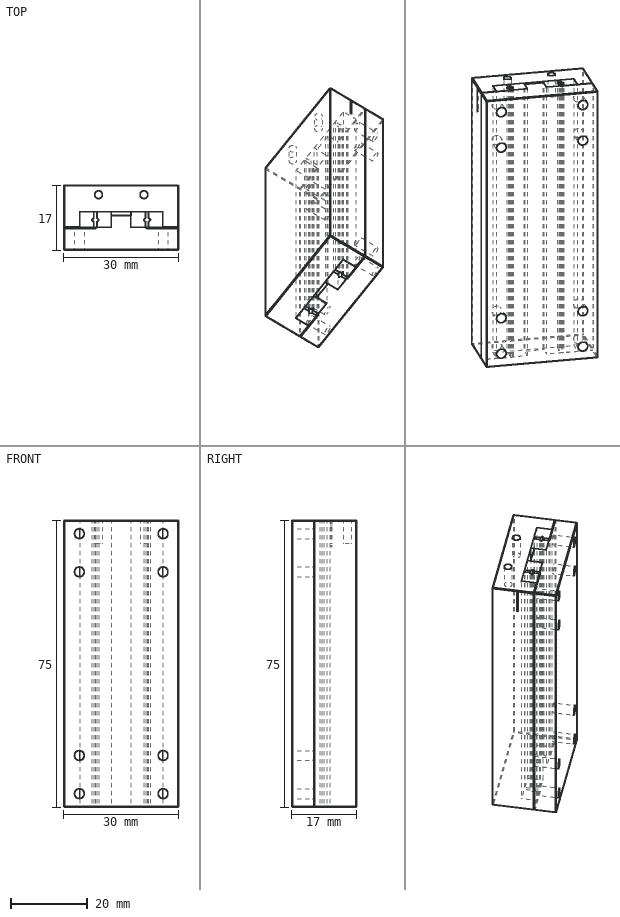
import cadquery as cq

WIDTH = 30.0
DEPTH = 17.0
LENGTH = 75.0
EDGE_CHAMFER = 0.2
FRONT_Y = -DEPTH / 2
BACK_Y = DEPTH / 2

SEAT_Y = -2.55
SHOULDER_Y = -2.8
COVER_BOTTOM_Y = -2.5
CEILING_Y = 1.5

CHANNEL_HALF_WIDTH = 10.9
SLOT_CENTRE_X = 6.75
SLOT_WIDTH = 0.75
JAW_INNER_X = SLOT_CENTRE_X - SLOT_WIDTH / 2
JAW_OUTER_X = SLOT_CENTRE_X + SLOT_WIDTH / 2
GROOVE_DEPTH = 0.5
GROOVE_Y = -0.6

RIB_HALF_WIDTH = 2.55
RIB_TOP_Y = 0.6

CLAMP_HOLE_DIAMETER = 2.55
CLAMP_HOLE_X = 10.95
CLAMP_HOLE_Z = (24.0, 34.0)

END_HOLE_DIAMETER = 2.0
END_HOLE_X = 5.9
END_HOLE_Y = 6.0
END_HOLE_DEPTH = 6.0

MARK_Y = 1.8
MARK_Z = 33.75
MARK_LINE_LENGTH = 4.65
MARK_DIMPLE_SPACING = 6.0
MARK_WIDTH = 0.45
MARK_DEPTH = MARK_WIDTH / 2


def bar(x_min, x_max, y_min, y_max):
    """Full-length rectangular bar along Z."""
    return (
        cq.Workplane("XY")
        .box(x_max - x_min, y_max - y_min, LENGTH, centered=False)
        .translate((x_min, y_min, -LENGTH / 2))
    )


def chamfered_block(y_min, y_max, outer_face):
    """Full-width block with its outer face and its four corner edges chamfered."""
    block = bar(-WIDTH / 2, WIDTH / 2, y_min, y_max)
    block = block.faces(outer_face).edges().chamfer(EDGE_CHAMFER)
    return block.edges("|Y").chamfer(EDGE_CHAMFER)


def clamp_holes():
    centres = [(side * CLAMP_HOLE_X, end * z) for side in (-1, 1) for end in (-1, 1) for z in CLAMP_HOLE_Z]
    return (
        cq.Workplane("XZ", origin=(0, FRONT_Y, 0))
        .pushPoints(centres)
        .circle(CLAMP_HOLE_DIAMETER / 2)
        .extrude(FRONT_Y - SHOULDER_Y)
    )


def make_base():
    base = chamfered_block(FRONT_Y, SHOULDER_Y, "<Y")
    seat = bar(-SLOT_CENTRE_X, SLOT_CENTRE_X, SHOULDER_Y, SEAT_Y)
    rib = bar(-RIB_HALF_WIDTH, RIB_HALF_WIDTH, SEAT_Y, RIB_TOP_Y)
    return base.union(seat).union(rib).cut(clamp_holes())


def end_holes():
    return (
        cq.Workplane("XY", origin=(0, END_HOLE_Y, LENGTH / 2))
        .pushPoints([(-END_HOLE_X, 0), (END_HOLE_X, 0)])
        .circle(END_HOLE_DIAMETER / 2)
        .extrude(-END_HOLE_DEPTH)
    )


def engrave_mark(cover):
    surface_x = -WIDTH / 2
    line = (
        cq.Workplane("XY", origin=(surface_x, MARK_Y, MARK_Z - MARK_LINE_LENGTH / 2))
        .polyline([(0, -MARK_WIDTH / 2), (MARK_DEPTH, 0), (0, MARK_WIDTH / 2)])
        .close()
        .extrude(MARK_LINE_LENGTH)
    )
    cover = cover.cut(line)
    for end in (-1, 1):
        centre = cq.Vector(surface_x, MARK_Y, MARK_Z + end * MARK_DIMPLE_SPACING / 2)
        dimple = cq.Solid.makeCone(MARK_WIDTH / 2, 0, MARK_DEPTH, pnt=centre, dir=cq.Vector(1, 0, 0))
        cover = cover.cut(cq.Workplane(dimple))
    return cover


def make_cover():
    cover = chamfered_block(COVER_BOTTOM_Y, BACK_Y, ">Y")
    channel = bar(-CHANNEL_HALF_WIDTH, CHANNEL_HALF_WIDTH, COVER_BOTTOM_Y, CEILING_Y)
    return engrave_mark(cover.cut(channel).cut(end_holes()))


def make_jaw(x_min, x_max, slot_face_x):
    """Jaw between two X positions, V-grooved along the face that borders the slot."""
    groove = (
        cq.Workplane("XY", origin=(slot_face_x, GROOVE_Y, -LENGTH / 2))
        .polyline([(-GROOVE_DEPTH, 0), (0, -GROOVE_DEPTH), (GROOVE_DEPTH, 0), (0, GROOVE_DEPTH)])
        .close()
        .extrude(LENGTH)
    )
    return bar(x_min, x_max, SEAT_Y, CEILING_Y).cut(groove)


def mirrored_pair(jaw):
    return [jaw.val(), jaw.mirror("YZ").val()]


base = make_base()
cover = make_cover()
inner_jaws = mirrored_pair(make_jaw(RIB_HALF_WIDTH, JAW_INNER_X, JAW_INNER_X))
outer_jaws = mirrored_pair(make_jaw(JAW_OUTER_X, CHANNEL_HALF_WIDTH, JAW_OUTER_X))

result = cq.Compound.makeCompound([base.val(), cover.val(), *inner_jaws, *outer_jaws])